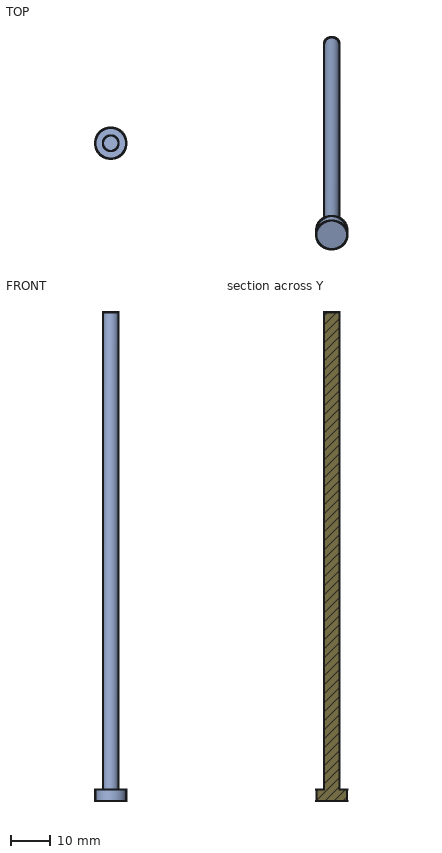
import cadquery as cq

total_length = 125.0
head_diameter = 8.0
head_thickness = 3.0
shank_diameter = 4.0

head = cq.Workplane("XY").circle(head_diameter / 2).extrude(head_thickness)
shank = cq.Workplane("XY").circle(shank_diameter / 2).extrude(total_length)

result = head.union(shank)